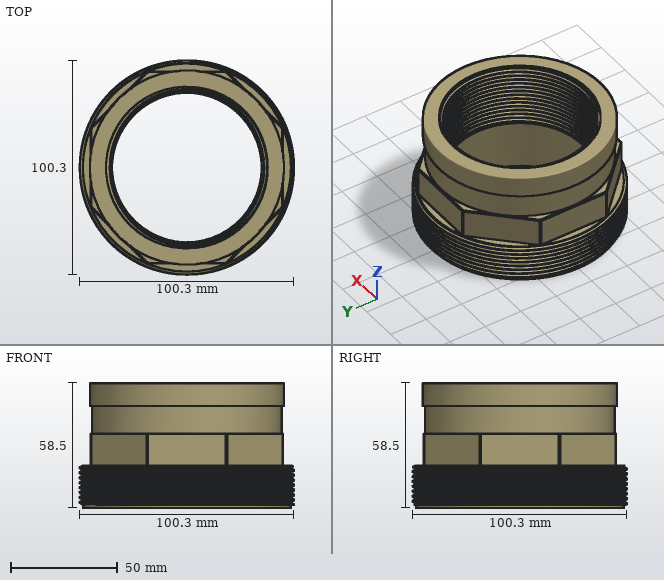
import cadquery as cq
import math


total_height = 58.5
flange_top = 20.0
wrench_top = 35.0

ring_diameter = 91.0
ring_wall = 1.0
ring_height = 10.75
ring_opening = 75.7
ring_edge_radius = 0.5

neck_diameter = ring_diameter - 2 * ring_wall
body_top = total_height - ring_wall
wrench_across_flats = 90.0
wrench_sides = 8
wrench_corner_chamfer = 0.5
wrench_top_chamfer = 0.4
bore_diameter = 70.0
socket_floor = 26.0

thread_pitch = 25.4 / 11
half_thread_angle = math.radians(55.0 / 2)
crest_flat = thread_pitch / 6
thread_overlap = 0.1

male_major_radius = 100.33 / 2
male_minor_radius = 97.37 / 2
male_thread_start = 1.5
male_bevel_height = 0.85

female_major_radius = 75.18 / 2
female_minor_radius = 72.23 / 2


def cylinder(radius, bottom, top):
    return cq.Workplane("XY").workplane(offset=bottom).circle(radius).extrude(top - bottom)


def threaded_rod(minor_radius, major_radius, bottom, top, crest_height):
    """Rod with a right-handed V thread, cut flat at both ends.

    The thread crest passes the +X side at crest_height, level with or near one end.
    """
    turns_below = math.ceil((crest_height - bottom) / thread_pitch) + 1
    turns_above = math.ceil((top - crest_height) / thread_pitch) + 1
    turns = turns_below + turns_above
    thread_start = crest_height - turns_below * thread_pitch

    foot_radius = minor_radius - thread_overlap
    half_crest = crest_flat / 2
    half_foot = half_crest + (major_radius - foot_radius) * math.tan(half_thread_angle)
    helix = cq.Wire.makeHelix(thread_pitch, turns * thread_pitch, minor_radius)
    rib = (
        cq.Workplane("XZ")
        .polyline([
            (foot_radius, -half_foot),
            (major_radius, -half_crest),
            (major_radius, half_crest),
            (foot_radius, half_foot),
        ])
        .close()
        .sweep(cq.Workplane(obj=helix), isFrenet=True)
        .translate((0, 0, thread_start))
    )

    rod_bottom = thread_start - thread_pitch
    rod_top = thread_start + (turns + 1) * thread_pitch
    rod = cylinder(minor_radius, rod_bottom, rod_top).union(rib, clean=False)
    slab_width = 4 * major_radius
    slab = (
        cq.Workplane("XY")
        .workplane(offset=bottom)
        .rect(slab_width, slab_width)
        .extrude(top - bottom)
    )
    return rod.intersect(slab, clean=False)


def male_thread():
    """External thread with a conical bevel around its upper end."""
    rod = threaded_rod(
        male_minor_radius, male_major_radius, male_thread_start, flange_top, male_thread_start
    )
    thread_depth = male_major_radius - male_minor_radius
    bevel_cutter = (
        cq.Workplane("XZ")
        .polyline([
            (male_minor_radius, flange_top),
            (male_minor_radius + 2 * thread_depth, flange_top - 2 * male_bevel_height),
            (male_minor_radius + 2 * thread_depth, flange_top),
        ])
        .close()
        .revolve(360, (0, 0, 0), (0, 1, 0))
    )
    return rod.cut(bevel_cutter, clean=False)


def threaded_socket():
    """Cavity of the female thread, its groove meeting the body's top face at +X."""
    return threaded_rod(female_minor_radius, female_major_radius, socket_floor, body_top, body_top)


def wrench_section():
    """Octagonal prism with flats square to X and Y and bevelled edges."""
    across_corners = wrench_across_flats / math.cos(math.pi / wrench_sides)
    return (
        cq.Workplane("XY")
        .workplane(offset=flange_top)
        .transformed(rotate=(0, 0, 180 / wrench_sides))
        .polygon(wrench_sides, across_corners)
        .extrude(wrench_top - flange_top)
        .edges("|Z")
        .chamfer(wrench_corner_chamfer)
        .faces(">Z")
        .edges()
        .chamfer(wrench_top_chamfer)
    )


def make_body():
    body = wrench_section().union(cylinder(neck_diameter / 2, flange_top, body_top))
    body = body.union(cylinder(male_minor_radius, 0, male_thread_start))
    body = body.union(male_thread(), clean=False)
    body = body.cut(cylinder(bore_diameter / 2, 0, socket_floor), clean=False)
    return body.cut(threaded_socket(), clean=False)


def make_ring():
    """Cup with a skirt around the neck and a flat lip over the body's top face."""
    ring_bottom = total_height - ring_height
    shell = cylinder(ring_diameter / 2, ring_bottom, total_height)
    shell = shell.faces(">Z").edges().fillet(ring_edge_radius)
    shell = shell.cut(cylinder(neck_diameter / 2, ring_bottom, body_top))
    return shell.cut(cylinder(ring_opening / 2, body_top, total_height))


body = make_body()
ring = make_ring()
result = cq.Compound.makeCompound([body.val(), ring.val()])